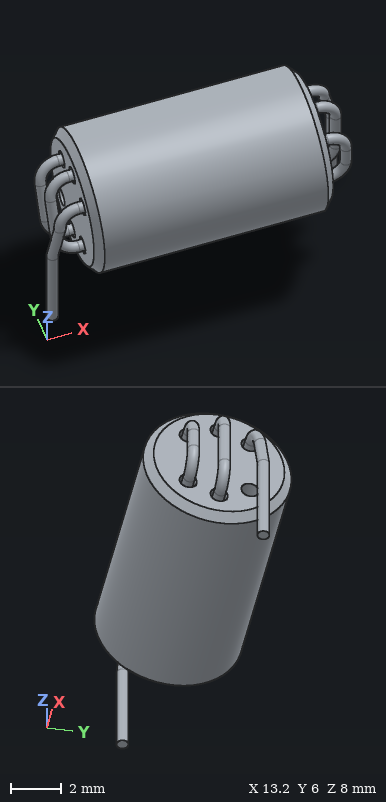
import cadquery as cq
import math

core_diameter = 6.0
core_length = 10.0
chamfer_axial = 0.33
chamfer_radial = 0.35
hole_diameter = 0.7
hole_circle_radius = 1.77
winding_angles = (135, 225, 90, 270, 45)
empty_angle = 315

wire_diameter = 0.47
bend_radius = 0.8
stub_length = 0.2
lead_x = 6.59 - wire_diameter / 2
lead_y = 1.5
lead_top_z = -1.03
lead_bottom_z = -5.0
lead_bend_tilt = 13

core_half_length = core_length / 2
core_radius = core_diameter / 2
bend_start_x = core_half_length + stub_length


def hole_position(angle):
    """(y, z) of the hole at the given angle on the hole circle."""
    turn = math.radians(angle)
    return hole_circle_radius * math.cos(turn), hole_circle_radius * math.sin(turn)


def make_core():
    face_radius = core_radius - chamfer_radial
    shoulder_x = core_half_length - chamfer_axial
    body = (
        cq.Workplane("XY")
        .moveTo(-core_half_length, 0)
        .lineTo(-core_half_length, face_radius)
        .lineTo(-shoulder_x, core_radius)
        .lineTo(shoulder_x, core_radius)
        .lineTo(core_half_length, face_radius)
        .lineTo(core_half_length, 0)
        .close()
        .revolve(360, (0, 0, 0), (1, 0, 0))
    )
    holes = (
        cq.Workplane("YZ", origin=(-core_half_length, 0, 0))
        .pushPoints([hole_position(angle) for angle in (*winding_angles, empty_angle)])
        .circle(hole_diameter / 2)
        .extrude(core_length)
    )
    return body.cut(holes)


def bend_points(side, hole, direction):
    """Start, middle and end of the quarter bend leaving a hole on one side (-1 or +1) of the core."""

    def point(turn):
        reach = bend_radius * (1 - math.cos(turn))
        y, z = (place + reach * step for place, step in zip(hole, direction))
        return cq.Vector(side * (bend_start_x + bend_radius * math.sin(turn)), y, z)

    return [point(turn) for turn in (0, math.pi / 4, math.pi / 2)]


def unit_direction(start, end):
    length = math.dist(start, end)
    return tuple((b - a) / length for a, b in zip(start, end))


def make_winding(first_bend, last_bend):
    """Sweep the wire through five holes, from the outer end of one end bend to that of the other."""
    passes = [hole_position(angle) for angle in winding_angles]
    bends = [first_bend[::-1]]
    side = 1
    for leaving, entering in zip(passes, passes[1:]):
        direction = unit_direction(leaving, entering)
        back = tuple(-step for step in direction)
        bends.append(bend_points(side, leaving, direction))
        bends.append(bend_points(side, entering, back)[::-1])
        side = -side
    bends.append(last_bend)

    edges = [cq.Edge.makeThreePointArc(*bends[0])]
    for previous, bend in zip(bends, bends[1:]):
        edges.append(cq.Edge.makeLine(previous[-1], bend[0]))
        edges.append(cq.Edge.makeThreePointArc(*bend))
    path = cq.Wire.assembleEdges(edges)
    start_plane = cq.Plane(origin=path.startPoint(), xDir=(1, 0, 0), normal=edges[0].tangentAt(0))
    return cq.Workplane(start_plane).circle(wire_diameter / 2).sweep(cq.Workplane(path))


def make_lead(side, bend_end, direction):
    """Slanted transition from an end bend, then the straight vertical lead."""
    radius = wire_diameter / 2
    lead_top = cq.Vector(side * lead_x, side * lead_y, lead_top_z)
    down = cq.Vector(0, 0, -1)
    inward = cq.Vector(-side, 0, 0)
    bend_plane = cq.Plane(origin=bend_end, xDir=inward, normal=cq.Vector(0, *direction))
    lead_plane = cq.Plane(origin=lead_top, xDir=inward, normal=down)
    bend_circle, lead_circle = (
        cq.Workplane(plane).circle(radius).val()
        for plane in (bend_plane, lead_plane)
    )
    transition = cq.Solid.makeLoft([bend_circle, lead_circle], True)
    pin = cq.Solid.makeCylinder(radius, lead_top_z - lead_bottom_z, lead_top, down)
    return cq.Workplane(transition).union(cq.Workplane(pin))


def make_wire():
    tilt = math.radians(lead_bend_tilt)
    first_direction = (-math.sin(tilt), -math.cos(tilt))
    last_direction = (math.sin(tilt), -math.cos(tilt))
    first_bend = bend_points(-1, hole_position(winding_angles[0]), first_direction)
    last_bend = bend_points(1, hole_position(winding_angles[-1]), last_direction)
    winding = make_winding(first_bend, last_bend)
    first_lead = make_lead(-1, first_bend[-1], first_direction)
    last_lead = make_lead(1, last_bend[-1], last_direction)
    return winding.union(first_lead).union(last_lead)


core = make_core()
wire = make_wire()
result = cq.Compound.makeCompound([core.val(), *wire.solids().vals()])